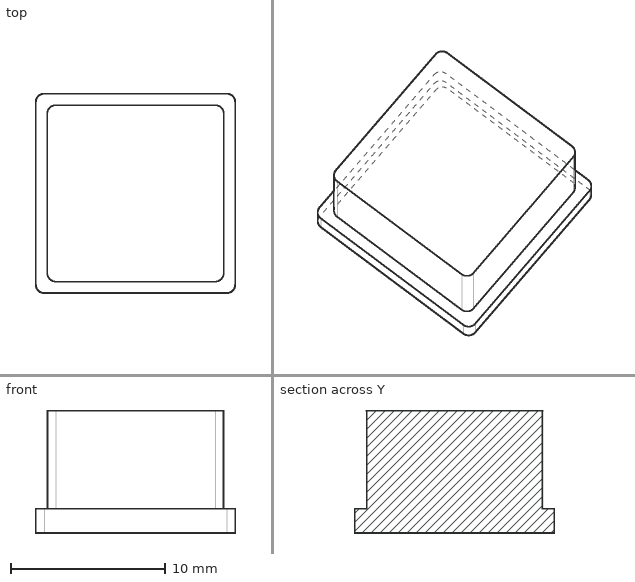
import cadquery as cq

base_side = 12.95
base_height = 1.59
base_corner_radius = 0.55

total_height = 7.94
body_side = 11.45
body_corner_radius = 0.55
body_height = total_height - base_height


def rounded_square_block(side, height, corner_radius, bottom):
    """Upright square block, centred on Z, with rounded vertical edges."""
    return (
        cq.Workplane("XY", origin=(0, 0, bottom))
        .rect(side, side)
        .extrude(height)
        .edges("|Z")
        .fillet(corner_radius)
    )


base = rounded_square_block(base_side, base_height, base_corner_radius, 0)
body = rounded_square_block(body_side, body_height, body_corner_radius, base_height)

result = base.union(body)